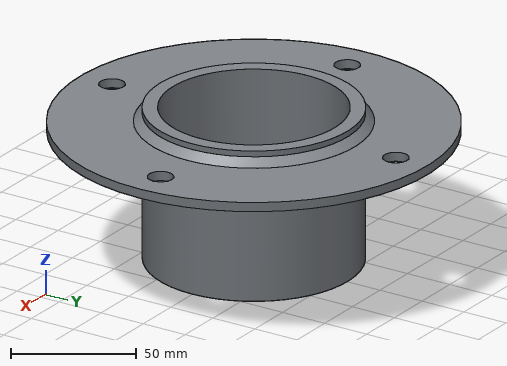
import cadquery as cq

flange_diameter = 165.0
flange_thickness = 4.0
tube_diameter = 89.0
bore_diameter = 76.5
tube_length = 65.0
tube_projection = 6.0
weld_leg = 3.5
bolt_hole_diameter = 10.5
bolt_circle_diameter = 135.0
bolt_count = 4

flange_top = tube_length - tube_projection
flange_bottom = flange_top - flange_thickness
weld_top = flange_top + weld_leg

flange_radius = flange_diameter / 2
tube_radius = tube_diameter / 2
bore_radius = bore_diameter / 2
weld_radius = tube_radius + weld_leg

body = (
    cq.Workplane("XZ")
    .polyline([
        (bore_radius, 0),
        (tube_radius, 0),
        (tube_radius, flange_bottom),
        (flange_radius, flange_bottom),
        (flange_radius, flange_top),
        (weld_radius, flange_top),
        (tube_radius, weld_top),
        (tube_radius, tube_length),
        (bore_radius, tube_length),
    ])
    .close()
    .revolve(360, (0, 0, 0), (0, 1, 0))
)

bolt_holes = (
    cq.Workplane("XY")
    .workplane(offset=flange_bottom)
    .polarArray(bolt_circle_diameter / 2, 0, 360, bolt_count)
    .circle(bolt_hole_diameter / 2)
    .extrude(flange_thickness)
)

result = body.cut(bolt_holes)